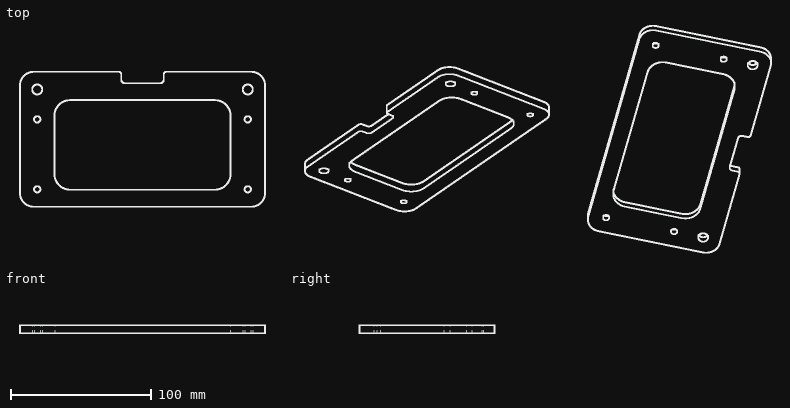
import cadquery as cq

length = 175.0
width = 96.5
thickness = 6.0
corner_radius = 10.0

window_length = 125.5
window_width = 63.7
window_center_y = -4.0
window_radius = 11.0

notch_length = 30.1
notch_depth = 8.2
notch_mouth_radius = 2.0
notch_floor_radius = 2.5

hole_x = 75.0
large_hole_diameter = 7.0
large_hole_y = 35.5
small_hole_diameter = 4.4
small_hole_ys = (14.2, -35.7)


def make_plate():
    """Rounded plate with a notch whose mouth and floor corners are rounded."""
    edge_y = width / 2
    floor_y = edge_y - notch_depth
    side_x = notch_length / 2
    blank = cq.Workplane("XY").box(length, width, thickness, centered=(True, True, False))
    blank = blank.edges("|Z").fillet(corner_radius)
    notch = (
        cq.Workplane("XY")
        .center(0, edge_y - notch_depth / 2)
        .rect(notch_length, notch_depth)
        .extrude(thickness)
    )
    plate = blank.cut(notch)
    for y, radius in ((edge_y, notch_mouth_radius), (floor_y, notch_floor_radius)):
        for x in (-side_x, side_x):
            corner = cq.selectors.NearestToPointSelector((x, y, thickness / 2))
            plate = plate.edges(corner).fillet(radius)
    return plate


def make_window():
    return (
        cq.Workplane("XY")
        .center(0, window_center_y)
        .rect(window_length, window_width)
        .extrude(thickness)
        .edges("|Z")
        .fillet(window_radius)
    )


def make_hole_pair(diameter, y):
    return (
        cq.Workplane("XY")
        .pushPoints([(-hole_x, y), (hole_x, y)])
        .circle(diameter / 2)
        .extrude(thickness)
    )


result = make_plate().cut(make_window())
result = result.cut(make_hole_pair(large_hole_diameter, large_hole_y))
for small_hole_y in small_hole_ys:
    result = result.cut(make_hole_pair(small_hole_diameter, small_hole_y))